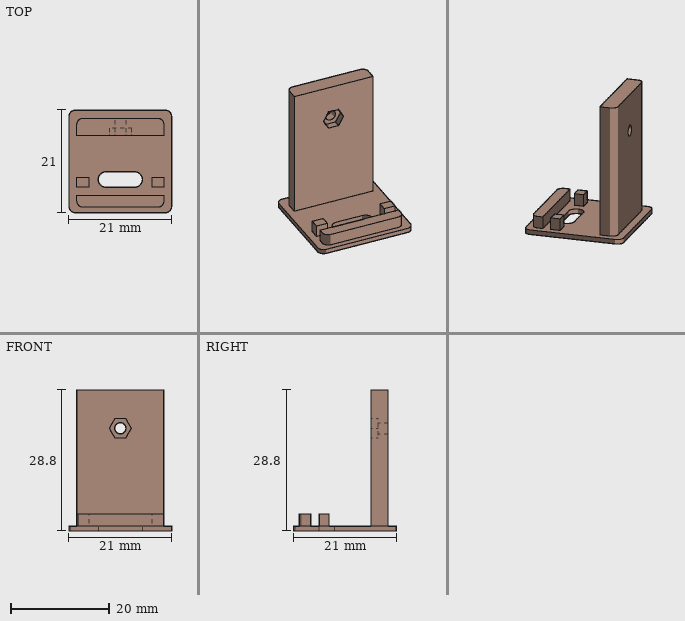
import cadquery as cq

base_side = 21.0
base_thickness = 1.0
base_corner_radius = 1.35

total_height = 28.8
upright_width = 17.8
upright_corner_radius = 1.3
wall_thickness = 3.5
wall_front_y = 5.3
lip_thickness = 2.4
lip_back_y = -6.95
lip_height = 2.5

post_width = 2.48
post_depth = 2.02
post_center_y = -4.23

slot_length = 9.0
slot_width = 3.1
slot_center_y = -3.7

screw_height = 20.97
screw_diameter = 2.25
nut_across_corners = 4.5
nut_pocket_depth = 1.5


def block(width, depth, height, x, y):
    """Block standing on the base plate, centred at (x, y)."""
    return (
        cq.Workplane("XY", origin=(x, y, base_thickness))
        .rect(width, depth)
        .extrude(height)
    )


def make_base():
    plate = cq.Workplane("XY").rect(base_side, base_side).extrude(base_thickness)
    plate = plate.edges("|Z").fillet(base_corner_radius)
    slot = (
        cq.Workplane("XY", origin=(0, slot_center_y, 0))
        .slot2D(slot_length, slot_width)
        .extrude(base_thickness)
    )
    return plate.cut(slot)


def make_wall():
    wall_center_y = wall_front_y + wall_thickness / 2
    wall_height = total_height - base_thickness
    wall = block(upright_width, wall_thickness, wall_height, 0, wall_center_y)
    wall = wall.edges("|Z and >Y").fillet(upright_corner_radius)

    front_face = cq.Workplane("XZ", origin=(0, wall_front_y, screw_height))
    screw_hole = front_face.circle(screw_diameter / 2).extrude(-wall_thickness)
    nut_pocket = front_face.polygon(6, nut_across_corners).extrude(-nut_pocket_depth)
    return wall.cut(screw_hole).cut(nut_pocket)


def make_lip():
    lip_center_y = lip_back_y - lip_thickness / 2
    lip = block(upright_width, lip_thickness, lip_height, 0, lip_center_y)
    return lip.edges("|Z and <Y").fillet(upright_corner_radius)


result = make_base().union(make_wall()).union(make_lip())

post_offset = (upright_width - post_width) / 2
for post_x in (-post_offset, post_offset):
    post = block(post_width, post_depth, lip_height, post_x, post_center_y)
    result = result.union(post)